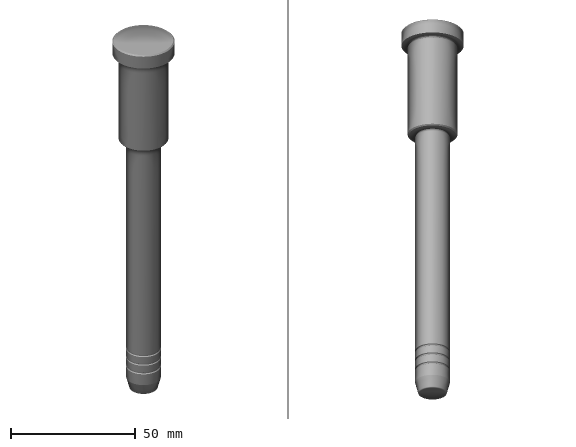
import cadquery as cq
import math

TOTAL_LENGTH = 161.0

HEAD_RADIUS = 12.5
HEAD_THICKNESS = 6.0
HEAD_CHAMFER = 0.5

SHOULDER_RADIUS = 10.0
SHOULDER_LENGTH = 40.0
SHOULDER_CHAMFER = 0.5

SHANK_RADIUS = 7.0
SHANK_CONE_LENGTH = 1.0
SHANK_CONE_DEPTH = 0.5

TAPER_LENGTH = 5.0
TAPER_ANGLE = 15.0
TIP_FILLET = 0.5

GROOVE_WIDTH = 1.0
GROOVE_FLOOR_WIDTH = 0.5
GROOVE_DEPTH = 0.4
OIL_GROOVE_COUNT = 3
OIL_GROOVE_PITCH = 4.0
LOWEST_OIL_GROOVE_Z = 10.5

HEAD_BOTTOM_Z = TOTAL_LENGTH - HEAD_THICKNESS
SHOULDER_BOTTOM_Z = HEAD_BOTTOM_Z - SHOULDER_LENGTH
TIP_RADIUS = SHANK_RADIUS - TAPER_LENGTH * math.tan(math.radians(TAPER_ANGLE))


def cylinder(radius, bottom_z, top_z):
    """Cylinder on the Z axis between two levels."""
    return cq.Workplane("XY").workplane(offset=bottom_z).circle(radius).extrude(top_z - bottom_z)


def groove_cutter(radius, center_z):
    """Ring that cuts a trapezoidal groove into a cylinder of the given radius."""
    half_width = GROOVE_WIDTH / 2
    half_floor = GROOVE_FLOOR_WIDTH / 2
    floor_radius = radius - GROOVE_DEPTH
    profile = [
        (radius, center_z + half_width),
        (floor_radius, center_z + half_floor),
        (floor_radius, center_z - half_floor),
        (radius, center_z - half_width),
    ]
    return cq.Workplane("XZ").polyline(profile).close().revolve(360, (0, 0, 0), (0, 1, 0))


def head():
    """Round head with a chamfered top rim."""
    return cylinder(HEAD_RADIUS, HEAD_BOTTOM_Z, TOTAL_LENGTH).faces(">Z").edges().chamfer(HEAD_CHAMFER)


def shoulder():
    """Thick section with a relief groove under the head and a chamfered lower rim."""
    body = cylinder(SHOULDER_RADIUS, SHOULDER_BOTTOM_Z, HEAD_BOTTOM_Z)
    body = body.faces("<Z").edges().chamfer(SHOULDER_CHAMFER)
    return body.cut(groove_cutter(SHOULDER_RADIUS, HEAD_BOTTOM_Z - GROOVE_WIDTH / 2))


def tip():
    """Conical lead-in with a rounded end."""
    cone = cq.Solid.makeCone(TIP_RADIUS, SHANK_RADIUS, TAPER_LENGTH)
    return cq.Workplane(cone).faces("<Z").edges().fillet(TIP_FILLET)


def shank():
    """Slim section with a narrowed upper end and oil grooves near the tip."""
    body = cylinder(SHANK_RADIUS, TAPER_LENGTH, SHOULDER_BOTTOM_Z)
    body = body.faces(">Z").edges().chamfer(SHANK_CONE_LENGTH, SHANK_CONE_DEPTH)
    for index in range(OIL_GROOVE_COUNT):
        center_z = LOWEST_OIL_GROOVE_Z + index * OIL_GROOVE_PITCH
        body = body.cut(groove_cutter(SHANK_RADIUS, center_z))
    return body


result = head().union(shoulder()).union(shank()).union(tip())